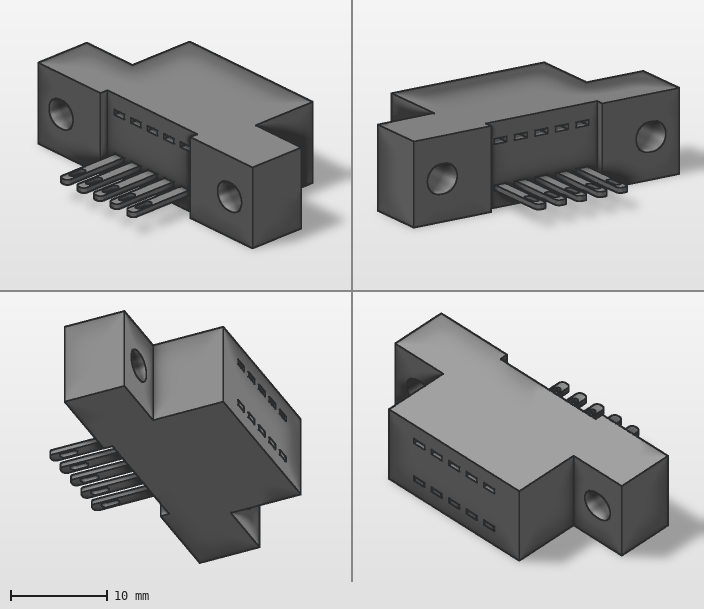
import cadquery as cq

FLANGE_WIDTH = 33.02
FLANGE_DEPTH = 6.87
BLOCK_WIDTH = 19.0
HOUSING_DEPTH = 14.93
HOUSING_HEIGHT = 9.4

RECESS_WIDTH = 13.85
RECESS_DEPTH = 1.0

MOUNT_SPACING = 25.95
MOUNT_LENGTH = 3.7
MOUNT_HEIGHT = 3.3

CONTACT_COUNT = 5
CONTACT_PITCH = 2.55
ROW_SPACING = 5.1
SLOT_WIDTH = 1.55
SLOT_HEIGHT = 0.6

CONTACT_WIDTH = 1.25
CONTACT_REACH = 6.95
TIP_RADIUS = 0.5
EYELET_WIDTH = 0.85
EYELET_LENGTH = 2.0
EYELET_TO_TIP = 2.05

UPPER_ROW_Z = ROW_SPACING / 2
LOWER_ROW_Z = -UPPER_ROW_Z
CONTACT_XS = [(i - (CONTACT_COUNT - 1) / 2) * CONTACT_PITCH for i in range(CONTACT_COUNT)]


def block(width, front_y, back_y, height):
    """Box centred on X and Z that runs from front_y to back_y."""
    depth = back_y - front_y
    return cq.Workplane("XY").box(width, depth, height).translate((0, front_y + depth / 2, 0))


def mounting_holes():
    return (
        cq.Workplane("XZ")
        .pushPoints([(-MOUNT_SPACING / 2, 0), (MOUNT_SPACING / 2, 0)])
        .slot2D(MOUNT_LENGTH, MOUNT_HEIGHT)
        .extrude(-FLANGE_DEPTH)
    )


def contact_slots():
    centres = [(x, z) for z in (LOWER_ROW_Z, UPPER_ROW_Z) for x in CONTACT_XS]
    return cq.Workplane("XZ").pushPoints(centres).rect(SLOT_WIDTH, SLOT_HEIGHT).extrude(-HOUSING_DEPTH)


def make_housing():
    flange = block(FLANGE_WIDTH, 0, FLANGE_DEPTH, HOUSING_HEIGHT)
    mating_block = block(BLOCK_WIDTH, 0, HOUSING_DEPTH, HOUSING_HEIGHT)
    recess = block(RECESS_WIDTH, 0, RECESS_DEPTH, HOUSING_HEIGHT)
    return flange.union(mating_block).cut(recess).cut(mounting_holes()).cut(contact_slots())


def make_contact(x):
    """Flat contact lying in a lower slot, with a rounded tip and a solder eyelet."""
    strip = block(CONTACT_WIDTH, -CONTACT_REACH, HOUSING_DEPTH, SLOT_HEIGHT)
    strip = strip.edges("|Z and <Y").fillet(TIP_RADIUS)
    eyelet = (
        cq.Workplane("XY")
        .center(0, EYELET_TO_TIP - CONTACT_REACH)
        .slot2D(EYELET_LENGTH, EYELET_WIDTH, 90)
        .extrude(SLOT_HEIGHT / 2, both=True)
    )
    return strip.cut(eyelet).translate((x, 0, LOWER_ROW_Z))


housing = make_housing()
contacts = [make_contact(x) for x in CONTACT_XS]

result = cq.Compound.makeCompound([housing.val(), *[contact.val() for contact in contacts]])